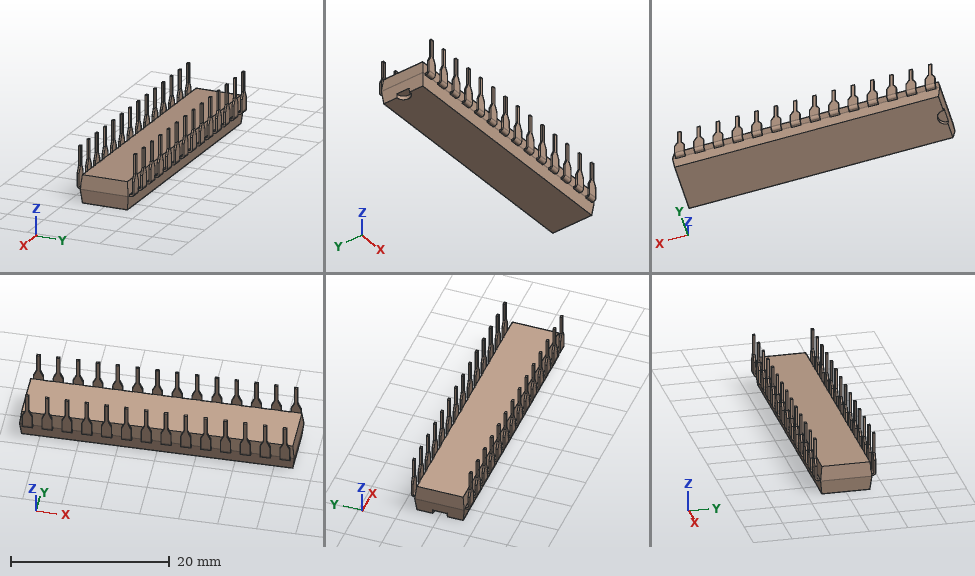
import cadquery as cq

body_length = 35.2
body_width = 6.65
body_height = 3.8
body_taper_inset = 0.22
overall_height = 7.32
half_height = body_height / 2

leads_per_row = 14
lead_row_length = 33.0
lead_pitch = lead_row_length / (leads_per_row - 1)
lead_span = 7.9
lead_thickness = 0.265
lead_bend_radius = 0.42
lead_tip_z = overall_height - half_height
shoulder_width = 1.25
shoulder_top_z = half_height
pin_width = 0.42
pin_start_z = 2.8

notch_radius = 1.0
notch_center_inset = 0.28
notch_depth = 0.55


def body_half(direction):
    """One half of the body, narrowing from the parting plane up (+1) or down (-1)."""
    return (
        cq.Workplane("XY")
        .rect(body_length, body_width)
        .workplane(offset=direction * half_height)
        .rect(body_length - 2 * body_taper_inset, body_width - 2 * body_taper_inset)
        .loft(ruled=True)
    )


def end_notch():
    """Upright cylinder that opens through the -X end and the underside of the body."""
    center_x = -body_length / 2 + notch_center_inset
    return (
        cq.Workplane("XY", origin=(center_x, 0, -half_height))
        .circle(notch_radius)
        .extrude(notch_depth)
    )


def lead():
    """Lead on the -Y side at x = 0: bent strip trimmed to a wide shoulder and narrow pin."""
    outer_y = -lead_span / 2
    inner_y = outer_y + lead_thickness
    bottom_z = -lead_thickness / 2
    top_z = lead_thickness / 2
    inner_bend_radius = lead_bend_radius - lead_thickness
    root_y = -body_width / 2 + body_taper_inset

    strip = (
        cq.Workplane("YZ")
        .moveTo(root_y, bottom_z)
        .lineTo(outer_y + lead_bend_radius, bottom_z)
        .radiusArc((outer_y, bottom_z + lead_bend_radius), lead_bend_radius)
        .lineTo(outer_y, lead_tip_z)
        .lineTo(inner_y, lead_tip_z)
        .lineTo(inner_y, top_z + inner_bend_radius)
        .radiusArc((inner_y + inner_bend_radius, top_z), -inner_bend_radius)
        .lineTo(root_y, top_z)
        .close()
        .extrude(shoulder_width / 2, both=True)
    )
    face_outline = (
        cq.Workplane("XZ")
        .moveTo(0, bottom_z)
        .lineTo(shoulder_width / 2, bottom_z)
        .lineTo(shoulder_width / 2, shoulder_top_z)
        .lineTo(pin_width / 2, pin_start_z)
        .lineTo(pin_width / 2, lead_tip_z)
        .lineTo(0, lead_tip_z)
        .mirrorY()
        .extrude(lead_span / 2)
    )
    return strip.intersect(face_outline)


result = body_half(1).union(body_half(-1)).cut(end_notch())

front_lead = lead()
back_lead = front_lead.mirror("XZ")
for index in range(leads_per_row):
    lead_x = -lead_row_length / 2 + index * lead_pitch
    for side_lead in (front_lead, back_lead):
        result = result.union(side_lead.translate((lead_x, 0, 0)))